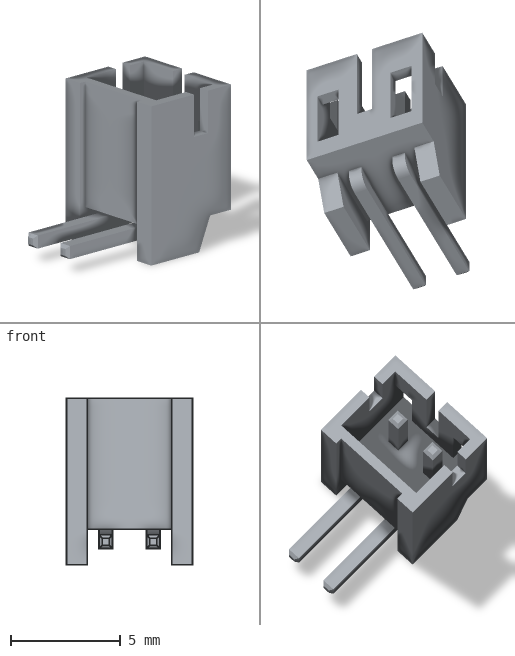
import cadquery as cq

width = 5.77
height = 7.62
depth = 4.93
wall_drop = 6.0
side_wall = 0.53
back_wall = 0.57
cavity_front = 4.14
front_plate = 4.60
leg_width = 0.965
cavity_depth = 5.0

slope_start = 1.28
slope_end = 1.96

side_slot_start = 1.41
side_slot_width = 0.87
side_slot_depth = 2.03
back_slot_width = 0.77
back_slot_depth = 4.0
window_top = 1.98
window_width = 1.06

pin_size = 0.63
pin_pitch = 2.17
pin_back = 1.40
pin_tip_drop = 1.74
pin_reach = 8.76
pin_underside = 0.75
pin_taper = 0.15
bend_radius = pin_size

inner_width = width - 2 * side_wall
leg_gap = width - 2 * leg_width
wall_bottom = height - wall_drop


def block(x_min, x_max, back, front, z_min, z_max):
    """Box given by its X and Z limits and by its distances from the back face."""
    size = (x_max - x_min, front - back, z_max - z_min)
    return cq.Workplane("XY").box(*size, centered=False).translate((x_min, -front, z_min))


def make_housing():
    profile = [
        (0, height),
        (0, wall_bottom),
        (-slope_start, wall_bottom),
        (-slope_end, 0),
        (-depth, 0),
        (-depth, height),
    ]
    body = cq.Workplane("YZ").polyline(profile).close().extrude(width / 2, both=True)
    half_gap = leg_gap / 2
    body = body.cut(block(-half_gap, half_gap, front_plate, depth, 0, height))
    body = body.cut(block(-half_gap, half_gap, 0, depth, 0, wall_bottom))
    half_inner = inner_width / 2
    return body.cut(block(-half_inner, half_inner, back_wall, cavity_front, height - cavity_depth, height))


def cut_wall_openings(body):
    side_slot_end = side_slot_start + side_slot_width
    body = body.cut(
        block(-width / 2, width / 2, side_slot_start, side_slot_end, height - side_slot_depth, height)
    )
    half_slot = back_slot_width / 2
    body = body.cut(block(-half_slot, half_slot, 0, back_wall, height - back_slot_depth, height))
    window_bottom = height - cavity_depth
    window = block(
        inner_width / 2 - window_width, inner_width / 2, 0, back_wall, window_bottom, height - window_top
    )
    return body.cut(window).cut(window.mirror("YZ"))


def make_pin(x_center):
    upright_front = -pin_back - pin_size
    level_top = pin_underside + pin_size
    tip_z = height - pin_tip_drop
    profile = [
        (-pin_back, tip_z),
        (-pin_back, pin_underside),
        (-pin_reach, pin_underside),
        (-pin_reach, level_top),
        (upright_front, level_top),
        (upright_front, tip_z),
    ]
    pin = cq.Workplane("YZ").polyline(profile).close().extrude(pin_size / 2, both=True)
    inner_corner = cq.selectors.NearestToPointSelector((0, upright_front, level_top))
    outer_corner = cq.selectors.NearestToPointSelector((0, -pin_back, pin_underside))
    pin = pin.edges("|X").edges(inner_corner).fillet(bend_radius)
    pin = pin.edges("|X").edges(outer_corner).fillet(bend_radius)
    pin = pin.faces(">Z").chamfer(pin_taper)
    pin = pin.faces("<Y").chamfer(pin_taper)
    return pin.translate((x_center, 0, 0))


result = cut_wall_openings(make_housing())
for side in (-1, 1):
    result = result.union(make_pin(side * pin_pitch / 2))